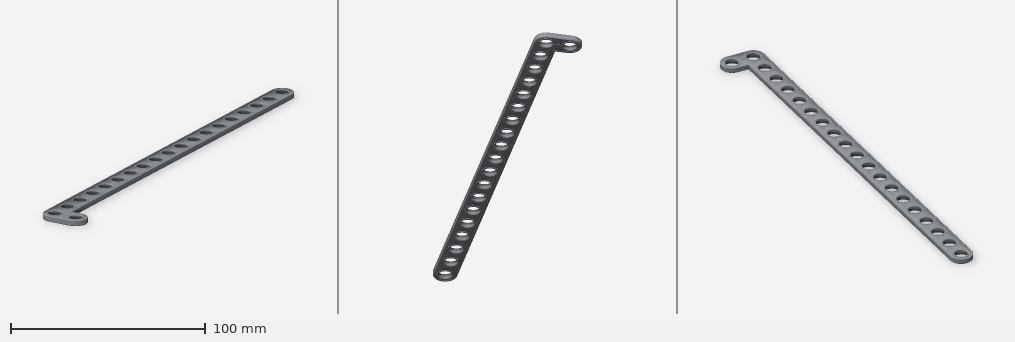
import cadquery as cq

length = 237.5
row_count = 19
thickness = 3.0
hole_diameter = 7.0
collar_diameter = 9.3
rim_width = 1.2
recess_depth = 0.2
rib_width = 0.83
outline_chamfer = 0.28
hole_chamfer = 0.35

pitch = length / row_count
width = pitch
row_length = (row_count - 1) * pitch
recess_width = width - 2 * rim_width

hole_centres = [(0, row * pitch) for row in range(row_count)] + [(pitch, 0)]


def ell(bar_width, height):
    """L-shaped plate of two round-ended bars that share the corner hole centre."""
    long_arm = (
        cq.Workplane("XY")
        .center(0, row_length / 2)
        .slot2D(row_length + bar_width, bar_width, 90)
        .extrude(height)
    )
    foot = (
        cq.Workplane("XY")
        .center(pitch / 2, 0)
        .slot2D(pitch + bar_width, bar_width)
        .extrude(height)
    )
    return long_arm.union(foot)


def cylinders(diameter):
    """Full-height cylinders on all the hole centres."""
    return cq.Workplane("XY").pushPoints(hole_centres).circle(diameter / 2).extrude(thickness)


def recess():
    """Sunken area of one face: inside the rim, around the collars and the rib."""
    rib = cq.Workplane("XY").center(pitch / 2, 0).rect(pitch, rib_width).extrude(thickness)
    return ell(recess_width, recess_depth).cut(cylinders(collar_diameter)).cut(rib)


plate = ell(width, thickness).faces("<Z or >Z").edges().chamfer(outline_chamfer)

smallest_radius = cq.selectors.RadiusNthSelector(0)
drilled_plate = (
    plate.cut(cylinders(hole_diameter))
    .faces("<Z or >Z")
    .edges(smallest_radius)
    .chamfer(hole_chamfer)
)

bottom_recess = recess()
top_recess = bottom_recess.translate((0, 0, thickness - recess_depth))
result = drilled_plate.cut(bottom_recess).cut(top_recess)